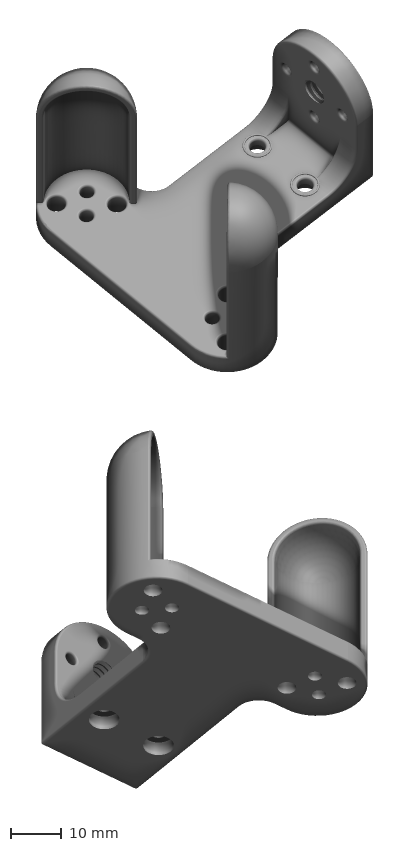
import cadquery as cq
import math

WIDTH = 60.0
LENGTH = 58.3
HEIGHT = 42.5
THICKNESS = 5.0
EDGE_RADIUS = 0.5
OVERSHOOT = 0.6

LEG_WIDTH = 24.0
CUP_RADIUS = 10.0
NECK_RADIUS = THICKNESS
GUSSET_RADIUS = 7.5
GUSSET_WIDTH = 5.0

CUP_X = WIDTH / 2 - CUP_RADIUS
CUP_Y = CUP_RADIUS
CUP_WALL = 1.5
CUP_BORE_RADIUS = CUP_RADIUS - CUP_WALL
CUP_CENTRE_Z = HEIGHT - CUP_RADIUS
UPRIGHT_HEIGHT = CUP_CENTRE_Z
UPRIGHT_FACE_Y = LENGTH - THICKNESS
UPRIGHT_RADIUS = LEG_WIDTH / 2
HUB_Z = UPRIGHT_HEIGHT - UPRIGHT_RADIUS
CHANNEL_HALF = LEG_WIDTH / 2 - GUSSET_WIDTH

LARGE_HOLE_DIAMETER = 3.7
LARGE_HOLE_OFFSET = 6.0
SMALL_HOLE_DIAMETER = 2.8
SMALL_HOLE_OFFSET = 3.0

HUB_HOLE_DIAMETER = 2.6
HUB_HOLE_OFFSET = 8.0
THREAD_MINOR_DIAMETER = 5.05
THREAD_MAJOR_DIAMETER = 6.35
THREAD_PITCH = 1.25
THREAD_START_ANGLE = 90.0
GROOVE_ROOT_WIDTH = 0.155
GROOVE_MOUTH_WIDTH = 0.95
GROOVE_OVERLAP = 0.1

LEG_HOLE_DIAMETER = 3.2
LEG_HOLE_X = 6.8
LEG_HOLE_FROM_BACK = 14.0
COLLAR_DIAMETER = 5.9
COLLAR_INNER_DIAMETER = 5.05
COLLAR_HEIGHT = 0.25
COLLAR_ROUNDING = 0.2
SCREW_HEAD_DIAMETER = 6.1
SCREW_HEAD_DEPTH = 3.2


def inner_corner_block(width):
    """Square block filling the inner corner between base and upright."""
    return (
        cq.Workplane("XY", origin=(0, UPRIGHT_FACE_Y - GUSSET_RADIUS, THICKNESS))
        .box(width, GUSSET_RADIUS, GUSSET_RADIUS, centered=(True, False, False))
    )


def make_bracket():
    """L-shaped bracket: T-shaped base, round-topped upright, swept inner corner, rounded edges."""
    side = LEG_WIDTH / 2
    lobe_rear_y = 2 * CUP_RADIUS
    neck_x = side + NECK_RADIUS
    neck_y = lobe_rear_y + NECK_RADIUS
    neck_mid_x = neck_x - NECK_RADIUS * math.sqrt(0.5)
    neck_mid_y = neck_y - NECK_RADIUS * math.sqrt(0.5)
    base = (
        cq.Workplane("XY")
        .moveTo(-CUP_X, 0)
        .lineTo(CUP_X, 0)
        .threePointArc((WIDTH / 2, CUP_Y), (CUP_X, lobe_rear_y))
        .lineTo(neck_x, lobe_rear_y)
        .threePointArc((neck_mid_x, neck_mid_y), (side, neck_y))
        .lineTo(side, LENGTH)
        .lineTo(-side, LENGTH)
        .lineTo(-side, neck_y)
        .threePointArc((-neck_mid_x, neck_mid_y), (-neck_x, lobe_rear_y))
        .lineTo(-CUP_X, lobe_rear_y)
        .threePointArc((-WIDTH / 2, CUP_Y), (-CUP_X, 0))
        .close()
        .extrude(THICKNESS)
    )
    upright = (
        cq.Workplane("XZ", origin=(0, LENGTH, 0))
        .moveTo(-side, 0)
        .lineTo(side, 0)
        .lineTo(side, HUB_Z)
        .threePointArc((0, UPRIGHT_HEIGHT), (-side, HUB_Z))
        .close()
        .extrude(THICKNESS)
    )
    corner = inner_corner_block(LEG_WIDTH)
    sweep = (
        cq.Workplane("YZ", origin=(-side, 0, 0))
        .center(UPRIGHT_FACE_Y - GUSSET_RADIUS, THICKNESS + GUSSET_RADIUS)
        .circle(GUSSET_RADIUS)
        .extrude(LEG_WIDTH)
    )
    bracket = base.union(upright).union(corner.cut(sweep)).clean()

    outer_outline = bracket.faces("<Z or >Y").edges().vals()
    bracket = bracket.newObject(outer_outline).fillet(EDGE_RADIUS)
    front_edge = cq.selectors.NearestToPointSelector((0, 0, THICKNESS))
    return bracket.edges(front_edge).fillet(EDGE_RADIUS)


def make_channel():
    """Cutter between the gussets, with a rounded root and flares that round the gusset edges."""
    slot = inner_corner_block(2 * CHANNEL_HALF).edges(">Y and <Z").fillet(EDGE_RADIUS)
    flare_half = CHANNEL_HALF + EDGE_RADIUS
    flare_radius = GUSSET_RADIUS + EDGE_RADIUS
    arc_inset = EDGE_RADIUS * math.sqrt(0.5)
    arc_mid_x = flare_half - arc_inset
    arc_mid_radius = flare_radius - arc_inset
    flared_disc = (
        cq.Workplane("XY")
        .moveTo(-flare_half, 0)
        .lineTo(-flare_half, GUSSET_RADIUS)
        .threePointArc((-arc_mid_x, arc_mid_radius), (-CHANNEL_HALF, flare_radius))
        .lineTo(CHANNEL_HALF, flare_radius)
        .threePointArc((arc_mid_x, arc_mid_radius), (flare_half, GUSSET_RADIUS))
        .lineTo(flare_half, 0)
        .close()
        .revolve(360, (0, 0, 0), (1, 0, 0))
        .translate((0, UPRIGHT_FACE_Y - GUSSET_RADIUS, THICKNESS + GUSSET_RADIUS))
    )
    flares = flared_disc.intersect(inner_corner_block(LEG_WIDTH))
    middle = cq.Workplane("XY").box(2 * CHANNEL_HALF, 2 * LENGTH, 2 * LENGTH)
    return slot.union(flares.cut(middle))


def make_cup():
    """Half of a round-ended tube on the origin, open toward -Y, with rounded rims."""
    bottom = THICKNESS - EDGE_RADIUS

    def round_ended_bar(radius):
        bar = cq.Workplane("XY", origin=(0, 0, bottom)).circle(radius).extrude(CUP_CENTRE_Z - bottom)
        dome = cq.Workplane("XY").sphere(radius, direct=(0, 1, 0)).translate((0, 0, CUP_CENTRE_Z))
        return bar.union(dome)

    rear_half = cq.Workplane("XY").box(
        WIDTH, WIDTH, 2 * HEIGHT, centered=(True, False, True)
    )
    cup = round_ended_bar(CUP_RADIUS).cut(round_ended_bar(CUP_BORE_RADIUS)).intersect(rear_half)
    return cup.faces("<Y").edges("not <Z").fillet(EDGE_RADIUS)


def rounded_hole(diameter):
    """Cutter for a through hole going down from the origin, its rim rounded at Z = 0."""
    radius = diameter / 2
    rim_reach = radius + EDGE_RADIUS
    arc_inset = EDGE_RADIUS * math.sqrt(0.5)
    depth = THICKNESS + OVERSHOOT
    return (
        cq.Workplane("XZ")
        .moveTo(0, -depth)
        .lineTo(radius, -depth)
        .lineTo(radius, -EDGE_RADIUS)
        .threePointArc((rim_reach - arc_inset, arc_inset - EDGE_RADIUS), (rim_reach, 0))
        .lineTo(rim_reach, OVERSHOOT)
        .lineTo(0, OVERSHOOT)
        .close()
        .revolve(360, (0, 0, 0), (0, 1, 0))
    )


def make_collar():
    """Low ring around a leg hole, its crest rounded on both sides, partly sunk into the base."""
    sunk = THICKNESS / 4
    return (
        cq.Workplane("XY", origin=(0, 0, -sunk))
        .circle(COLLAR_DIAMETER / 2)
        .circle(COLLAR_INNER_DIAMETER / 2)
        .extrude(sunk + COLLAR_HEIGHT)
        .edges(">Z")
        .fillet(COLLAR_ROUNDING)
    )


def make_thread():
    """Cutter for a threaded hole along +Z, reaching past both faces of a plate on the origin."""
    minor_radius = THREAD_MINOR_DIAMETER / 2
    major_radius = THREAD_MAJOR_DIAMETER / 2
    slope = (GROOVE_MOUTH_WIDTH - GROOVE_ROOT_WIDTH) / 2 / (major_radius - minor_radius)
    inner_radius = minor_radius - GROOVE_OVERLAP
    inner_half = GROOVE_MOUTH_WIDTH / 2 + slope * GROOVE_OVERLAP
    root_half = GROOVE_ROOT_WIDTH / 2
    path = cq.Wire.makeHelix(THREAD_PITCH, THICKNESS + 2 * THREAD_PITCH, minor_radius)
    groove = (
        cq.Workplane("XZ")
        .polyline([
            (inner_radius, -inner_half),
            (major_radius, -root_half),
            (major_radius, root_half),
            (inner_radius, inner_half),
        ])
        .close()
        .sweep(cq.Workplane(obj=path), isFrenet=True)
        .translate((0, 0, -THREAD_PITCH))
    )
    core = (
        cq.Workplane("XY", origin=(0, 0, -2 * THREAD_PITCH))
        .circle(minor_radius)
        .extrude(THICKNESS + 4 * THREAD_PITCH)
    )
    return core.union(groove)


def on_upright(cutter, x, z):
    """Turn a downward cutter to point along +Y, with its mouth on the inner face of the upright."""
    return cutter.rotate((0, 0, 0), (1, 0, 0), 90).translate((x, UPRIGHT_FACE_Y, z))


result = make_bracket().cut(make_channel())

for side in (-1, 1):
    turn = -45 * side
    centre = (side * CUP_X, CUP_Y, 0)
    result = result.union(make_cup().rotate((0, 0, 0), (0, 0, 1), turn).translate(centre))
    for diameter, offset, direction in (
        (LARGE_HOLE_DIAMETER, LARGE_HOLE_OFFSET, 0),
        (SMALL_HOLE_DIAMETER, SMALL_HOLE_OFFSET, 90),
    ):
        hole = rounded_hole(diameter)
        for angle in (direction, direction + 180):
            placed = hole.translate((offset, 0, THICKNESS)).rotate((0, 0, 0), (0, 0, 1), angle + turn)
            result = result.cut(placed.translate(centre))

head_recess = cq.Workplane("XY").circle(SCREW_HEAD_DIAMETER / 2).extrude(SCREW_HEAD_DEPTH)
for side in (-1, 1):
    foot = (side * LEG_HOLE_X, LENGTH - LEG_HOLE_FROM_BACK, 0)
    mouth = (side * LEG_HOLE_X, LENGTH - LEG_HOLE_FROM_BACK, THICKNESS)
    result = result.union(make_collar().translate(mouth))
    result = result.cut(rounded_hole(LEG_HOLE_DIAMETER).translate(mouth))
    result = result.cut(head_recess.translate(foot))

for angle in range(0, 360, 90):
    hole_x = HUB_HOLE_OFFSET * math.cos(math.radians(angle))
    hole_z = HUB_Z + HUB_HOLE_OFFSET * math.sin(math.radians(angle))
    result = result.cut(on_upright(rounded_hole(HUB_HOLE_DIAMETER), hole_x, hole_z))

thread = make_thread().rotate((0, 0, 0), (0, 0, 1), THREAD_START_ANGLE)
thread = thread.rotate((0, 0, 0), (1, 0, 0), 90)
result = result.cut(thread.translate((0, LENGTH, HUB_Z)))